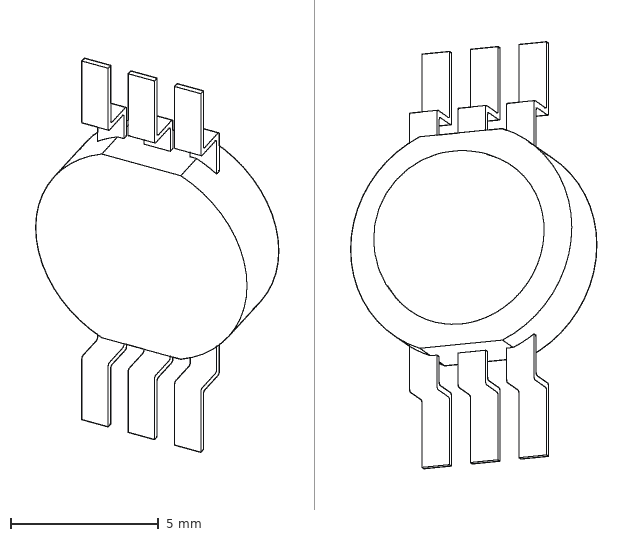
import cadquery as cq


housing_diameter = 8.0
housing_depth = 2.4
flat_half_height = 3.71

lens_diameter = 6.0
overall_depth = 5.3
lens_height = overall_depth - housing_depth

overall_height = 14.5
leads_per_side = 3
lead_pitch = 1.75
lead_width = 1.0
lead_thickness = 0.2
bend_radius = 0.1
lead_exit_depth = 1.39
lead_drop = 0.99
lead_embedment = 1.16

base_y = 0.0
lens_seat_y = base_y + housing_depth
lens_center_y = base_y + overall_depth - lens_diameter / 2
lead_root_z = flat_half_height - lead_embedment
cross_near_z = flat_half_height + lead_drop
cross_far_z = cross_near_z + lead_thickness
lead_tip_z = overall_height / 2


def make_housing_block():
    """Disc along Y with a flat at its top and bottom."""
    disc = (
        cq.Workplane("XZ", origin=(0, base_y, 0))
        .circle(housing_diameter / 2)
        .extrude(-housing_depth)
    )
    between_flats = cq.Workplane("XY").box(
        housing_diameter, housing_depth, 2 * flat_half_height, centered=(True, False, True)
    ).translate((0, base_y, 0))
    return disc.intersect(between_flats)


def make_upper_lead(center_x):
    """Z-bent strip: out of the housing, back to the base plane, then up along it."""
    exit_y = base_y + lead_exit_depth
    profile = [
        (exit_y, lead_root_z),
        (exit_y, cross_far_z),
        (base_y + lead_thickness, cross_far_z),
        (base_y + lead_thickness, lead_tip_z),
        (base_y, lead_tip_z),
        (base_y, cross_near_z),
        (exit_y - lead_thickness, cross_near_z),
        (exit_y - lead_thickness, lead_root_z),
    ]
    strip = (
        cq.Workplane("YZ", origin=(center_x, 0, 0))
        .polyline(profile)
        .close()
        .extrude(lead_width / 2, both=True)
    )
    bend_zone = cq.selectors.BoxSelector(
        (center_x - lead_width, base_y - lead_thickness, cross_near_z - lead_thickness),
        (center_x + lead_width, exit_y + lead_thickness, cross_far_z + lead_thickness),
    )
    return strip.edges("|X").edges(bend_zone).fillet(bend_radius)


def make_housing():
    """Housing block with its upper and lower rows of leads, as one solid."""
    housing = make_housing_block()
    for index in range(leads_per_side):
        center_x = (index - (leads_per_side - 1) / 2) * lead_pitch
        upper_lead = make_upper_lead(center_x)
        lower_lead = upper_lead.mirror("XY")
        housing = housing.union(upper_lead).union(lower_lead)
    return housing


def make_lens():
    """Part of a sphere that stands in front of the housing face."""
    ball = cq.Workplane("XY").sphere(lens_diameter / 2).translate((0, lens_center_y, 0))
    in_front_of_seat = cq.Workplane("XY").box(
        lens_diameter, lens_height, lens_diameter, centered=(True, False, True)
    ).translate((0, lens_seat_y, 0))
    return ball.intersect(in_front_of_seat)


housing = make_housing()
lens = make_lens()

result = cq.Compound.makeCompound([housing.solids().val(), lens.solids().val()])